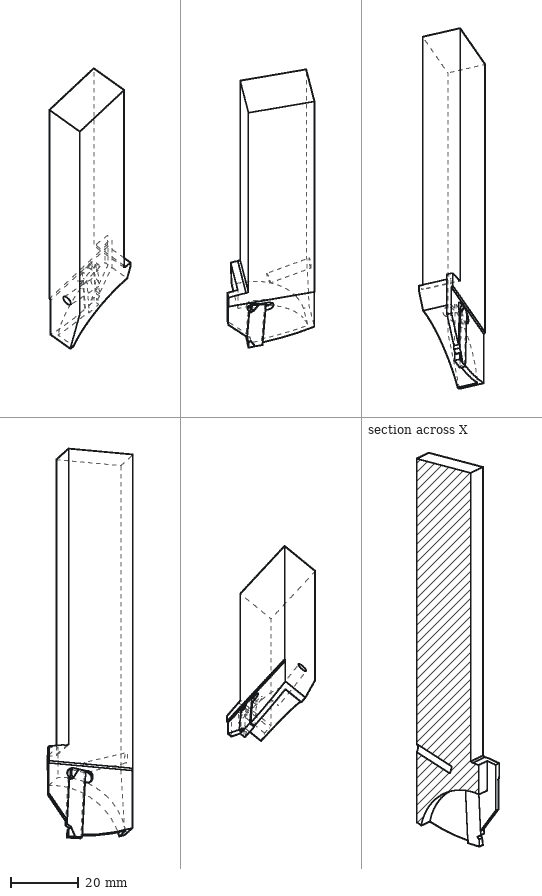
import cadquery as cq
import math


total_length = 120.0
shank_width = 12.0
shank_depth = 20.0

head_depth = 26.0
shoulder_z = 28.1
shoulder_inner_y = 20.8
shoulder_outer_y = 21.8
shoulder_corner_rise = 0.4
shoulder_slope = math.radians(10)
nose_z = 12.8
front_relief_angle = math.radians(36)
front_relief_drop = 8.3
sole_front_y = 15.8
sole_front_z = 1.0
sole_back_z = 4.5
sole_sag = 0.6

blade_thickness = 1.8
support_depth = 22.9
clearance_radius = 18.7
side_taper = math.radians(10)
side_taper_z = 25.9
face_relief = 0.4
face_relief_top_z = 22.8
face_relief_bottom_z = 22.2

tilted_hole_diameter = 3.0
tilted_hole_length = 14.4
tilted_hole_x = 7.0
tilted_hole_z = 28.1
tilted_hole_angle = 18.0

corner_relief_radius = 1.8
corner_relief_centres = [(18.5, 19.5), (14.2, 19.1)]

insert_length = 21.4
insert_lean = 3.0
insert_out = 0.66
insert_back = 4.26
end_clearance = math.radians(5)
rake_length = 2.3
groove_bottom_along = 3.0
groove_depth = 0.6
groove_end_along = 3.7
tip_relief_width = 2.2
tip_relief_angle = math.radians(5)

overcut = 1.2


def head_profile():
    """Side outline of shank and head; the edge below the nose ends inside the insert pocket."""
    slope_drop = (head_depth - shoulder_outer_y) * math.tan(shoulder_slope)
    relief_end_y = head_depth - front_relief_drop * math.tan(front_relief_angle)
    sole_middle = (sole_front_y / 2, (sole_front_z + sole_back_z) / 2 - sole_sag)
    return (
        cq.Workplane("YZ")
        .moveTo(0, total_length)
        .lineTo(shank_depth, total_length)
        .lineTo(shank_depth, shoulder_z + shoulder_corner_rise)
        .lineTo(shoulder_inner_y, shoulder_z)
        .lineTo(shoulder_outer_y, shoulder_z)
        .lineTo(head_depth, shoulder_z - slope_drop)
        .lineTo(head_depth, nose_z)
        .lineTo(relief_end_y, nose_z - front_relief_drop)
        .lineTo(sole_front_y, sole_front_z)
        .threePointArc(sole_middle, (0, sole_back_z))
        .close()
    )


def side_taper_cut():
    """Wedge that narrows the +X side towards the sole."""
    taper_height = side_taper_z + overcut
    return (
        cq.Workplane("XZ")
        .moveTo(shank_width, side_taper_z)
        .lineTo(shank_width, -overcut)
        .lineTo(shank_width - taper_height * math.tan(side_taper), -overcut)
        .close()
        .extrude(-head_depth)
    )


def face_relief_cut():
    """Shallow step that sets the blade face back from the shank face."""
    return (
        cq.Workplane("XZ")
        .moveTo(0, face_relief_top_z)
        .lineTo(face_relief, face_relief_bottom_z)
        .lineTo(face_relief, -overcut)
        .lineTo(0, -overcut)
        .close()
        .extrude(-head_depth)
    )


def support_cut():
    """Everything removed behind the blade: the front strip and the round work clearance."""
    behind_blade = cq.Workplane("YZ", origin=(blade_thickness, 0, 0))
    support_width = shank_width - blade_thickness
    front_strip = (
        behind_blade.moveTo(support_depth, 0)
        .rect(head_depth - support_depth, total_length, centered=False)
        .extrude(support_width)
    )
    round_clearance = (
        behind_blade.center(shank_depth, 0).circle(clearance_radius).extrude(support_width)
    )
    return front_strip.union(round_clearance)


def tilted_hole_cut():
    """Blind hole that enters the -Y face and slopes down towards +Y."""
    return (
        cq.Workplane("XZ", origin=(0, -overcut, 0))
        .center(tilted_hole_x, tilted_hole_z)
        .circle(tilted_hole_diameter / 2)
        .extrude(-tilted_hole_length)
        .rotate((0, 0, tilted_hole_z), (1, 0, tilted_hole_z), -tilted_hole_angle)
    )


def corner_relief_cut():
    return (
        cq.Workplane("YZ")
        .pushPoints(corner_relief_centres)
        .circle(corner_relief_radius)
        .extrude(blade_thickness)
    )


def lean_to_seat(shape):
    """Moves a shape from the upright insert position to its leaning seat."""
    return shape.rotate((0, 0, 0), (1, 0, 0), insert_lean).translate((0, shank_depth, 0))


def insert_blank():
    """Upright insert of full thickness, with the lower tip at the origin."""
    end_rise = insert_back * math.tan(end_clearance)
    lower_end = [
        (-insert_back, end_rise),
        (0, 0),
        (0, rake_length),
        (-groove_depth, groove_bottom_along),
        (insert_out, groove_end_along),
    ]
    upper_end = [(out, insert_length - along) for out, along in reversed(lower_end)]
    return cq.Workplane("YZ").polyline(lower_end + upper_end).close().extrude(blade_thickness)


def tip_relief_cut():
    """Thin wedge on the -X face of the lower tip, deepening away from the cutting edge."""
    wedge = (
        cq.Workplane("XZ")
        .moveTo(0, 0)
        .lineTo(0, groove_bottom_along)
        .lineTo(groove_bottom_along * math.tan(tip_relief_angle), groove_bottom_along)
        .close()
        .extrude(tip_relief_width, both=True)
    )
    tip_area = (
        cq.Workplane("YZ")
        .moveTo(0, 0)
        .lineTo(0, groove_bottom_along)
        .lineTo(-groove_depth, groove_bottom_along)
        .lineTo(-tip_relief_width, 0)
        .close()
        .extrude(blade_thickness)
    )
    return wedge.intersect(tip_area)


def make_insert():
    lower_relief = tip_relief_cut()
    upper_relief = lower_relief.mirror("XY", (0, 0, insert_length / 2))
    return lean_to_seat(insert_blank().cut(lower_relief).cut(upper_relief))


def make_holder():
    return (
        head_profile()
        .extrude(shank_width)
        .cut(side_taper_cut())
        .cut(face_relief_cut())
        .cut(support_cut())
        .cut(tilted_hole_cut())
        .cut(corner_relief_cut())
        .cut(lean_to_seat(insert_blank()))
    )


holder = make_holder()
insert = make_insert()

result = cq.Compound.makeCompound([holder.val(), insert.val()])